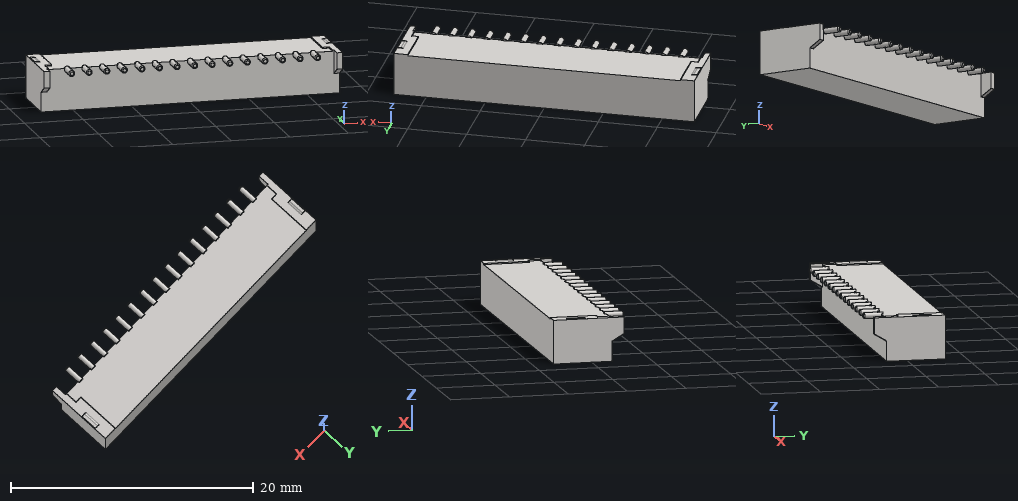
import cadquery as cq

housing_length = 25.5
housing_depth = 5.0
deck_height = 3.6

pad_height = 3.7
pad_width = 1.2
pad_depth = 3.9
pad_front_width = 0.62

arm_thickness = 0.5
arm_reach = 1.0
arm_root_height = 1.7
arm_tip_height = 2.3

ridge_height = 0.05
ridge_inset = 0.05
ridge_flat_width = 0.3
ridge_slope_width = 0.17
ridge_back_offset = 1.2
ridge_length = 1.5

pin_count = 15
pin_pitch = 1.5
pin_diameter = 0.5
pin_tip_chamfer = 0.1
pin_start_offset = 4.85
pin_end_offset = 6.5

half_length = housing_length / 2
pin_centre_height = pad_height + ridge_height - pin_diameter / 2


def make_housing():
    return cq.Workplane("XY").box(
        housing_length, housing_depth, deck_height, centered=(True, False, False)
    ).translate((0, -housing_depth, 0))


def make_left_pad():
    outline = [
        (-half_length, 0),
        (-half_length + pad_width, 0),
        (-half_length + pad_width, -pad_depth),
        (-half_length + pad_front_width, -pad_depth),
        (-half_length + pad_front_width, -housing_depth),
        (-half_length, -housing_depth),
    ]
    return cq.Workplane("XY").polyline(outline).close().extrude(pad_height)


def make_left_arm():
    front = -housing_depth - arm_reach
    profile = [
        (0, arm_root_height),
        (-housing_depth, arm_root_height),
        (front, arm_tip_height),
        (front, pad_height),
        (0, pad_height),
    ]
    arm = cq.Workplane("YZ").polyline(profile).close().extrude(arm_thickness)
    return arm.translate((-half_length, 0, 0))


def make_left_ridge():
    top = pad_height + ridge_height
    outer = -half_length + ridge_inset
    crest = outer + ridge_flat_width
    profile = [
        (outer, pad_height),
        (outer, top),
        (crest, top),
        (crest + ridge_slope_width, pad_height),
    ]
    ridge = cq.Workplane("XZ").polyline(profile).close().extrude(ridge_length)
    return ridge.translate((0, -ridge_back_offset, 0))


def make_pin(x):
    pin = (
        cq.Workplane("XZ", origin=(x, -pin_start_offset, pin_centre_height))
        .circle(pin_diameter / 2)
        .extrude(pin_end_offset - pin_start_offset)
    )
    return pin.faces("<Y").chamfer(pin_tip_chamfer)


left_end = make_left_pad().union(make_left_arm()).union(make_left_ridge())
result = make_housing().union(left_end).union(left_end.mirror("YZ"))

first_pin_x = -(pin_count - 1) * pin_pitch / 2
for index in range(pin_count):
    result = result.union(make_pin(first_pin_x + index * pin_pitch))